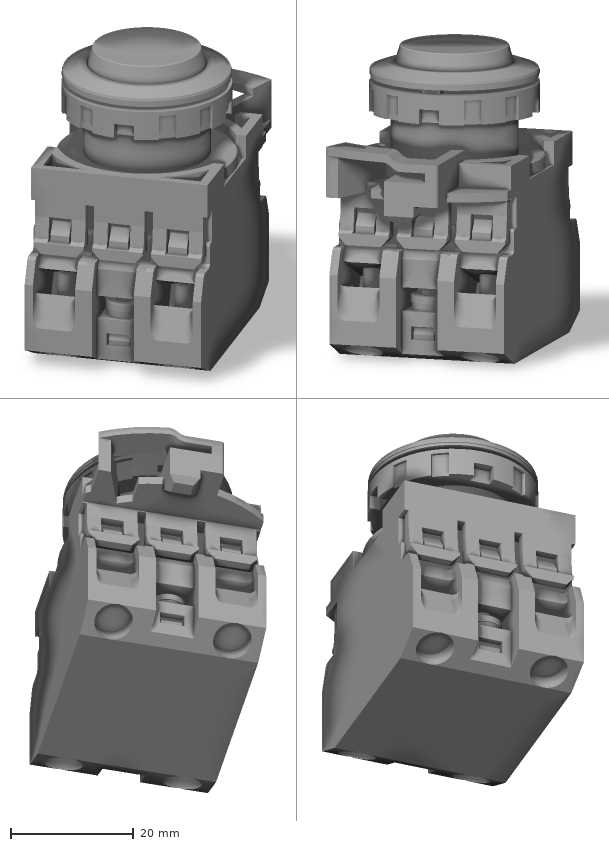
import cadquery as cq
import math


total_width = 30.0
total_height = 49.8
block_pitch = total_width / 3
half_width = total_width / 2

block_half_depth = 20.6
block_base_half = 14.9
block_chamfer_top = 2.65
block_slope_bottom = 14.15
block_shoulder_half = 18.75
block_shoulder_z = 18.35
block_neck_half = 15.2
block_top_z = 22.4
shoulder_chamfer = 0.4
neck_chamfer = 0.5

latch_width = 3.2
latch_inner_y = 13.95
latch_outer_y = 15.1
latch_top_z = 26.25
latch_chamfer = 0.25
tooth_reach_y = 17.15
tooth_bottom_z = 20.65
tooth_nose_z = 21.9
tooth_top_z = 23.85
tooth_root_y = 15.7

entry_width = 7.15
entry_foot_z = 6.65
entry_fillet = 1.05
entry_floor_z = 11.95
entry_roof_z = 15.7
entry_depth = 9.45
terminal_radius = 1.85
terminal_y = 12.1
bore_radius = 3.2
bore_depth = 3.0

channel_width = 7.1
channel_back_y = 17.15
channel_slope_bottom = 16.85
channel_slope_depth = 0.75
cavity_bottom_z = 8.1
cavity_top_z = 12.1
cavity_back_y = 8.95
screw_y = 13.45
screw_body_radius = 2.95
screw_head_radius = 3.15
screw_post_radius = 1.5
screw_head_bottom_z = 9.4
screw_head_top_z = 10.55
pocket_width = 4.1
pocket_bottom_z = 3.45
pocket_top_z = 5.7
pocket_depth = 1.2
pocket_wedge_depth = 0.8
pocket_wedge_width = 3.55
pocket_wedge_shoulder_z = 4.4
pocket_wedge_top_z = 5.35

adaptor_top_z = 33.2
adaptor_half_depth = 16.75
adaptor_skirt_z = 27.6
skirt_half_depth = 13.95
floor_z = 29.35
seat_radius = 14.85
seat_wall_radius = 16.55
side_notch_width = 13.35
corner_pocket_x = 13.4
corner_pocket_y = 15.25

clip_width = 8.55
clip_bend_z = 24.85
clip_ledge_z = 21.15
clip_lip_top_z = 20.65
clip_bevel_z = 20.15
clip_bottom_z = 18.7
clip_ledge_y = 17.25
clip_lip_y = 17.95
clip_toe_y = 16.5
clip_toe_z = 19.5
clip_bevel_width = 1.3
clip_window_width = 3.85

lever_outer_radius = 28.6
lever_inner_radius = 23.5
lever_left_x = -6.1
lever_right_x = 14.2
arm_width = 2.1
leaning_arm_width = 1.95
arm_lean = 20.0
arm_inner_radius = 15.0
lever_bottom_z = 27.8
lever_top_z = 34.85
lever_bar_thickness = 1.4
wave_start_x = 0.2
wave_length = 3.2
wave_straight_length = 0.35
wave_angle = math.radians(41.7)
lever_corner_fillet = 0.5
tongue_right_x = 3.1
tongue_top_z = 31.75
tongue_step_y = 19.65
tongue_step_z = 30.55
hook_left_x = -2.0
hook_inner_y = 24.5
hook_shoulder_z = 26.0
hook_bottom_z = 24.95
hook_taper = 40.0
flange_radius = 24.05
window_left_x = 7.05
window_inner_radius = 19.9

disc_radius = seat_radius
disc_top_z = 31.55
disc_chamfer = 0.15
barrel_radius = 10.45
neck_radius = 10.95
bezel_bottom_z = 44.5
bezel_band_bottom_z = 45.0
bezel_band_top_z = 45.55
bezel_rim_z = 46.0
bezel_top_z = 47.0
bezel_radius = 13.95
bezel_lower_radius = 13.8
bezel_rim_radius = 13.8
button_bore_radius = 9.9
button_seat_z = 45.0
key_width = 3.0
key_outer_y = 12.6
key_top_z = 44.2

nut_radius = 14.0
nut_bottom_z = 38.8
nut_top_z = 43.65
nut_notch_width = 3.4
nut_notch_top_z = 41.25
nut_notch_radius = 12.2
grip_top_z = 42.95
grip_radius = 13.45
grip_span = 12.0
grip_offset = 15.0

button_base_radius = 9.75
button_top_radius = 8.9
button_fillet = 0.25


def box(x_range, y_range, z_range):
    """Axis-aligned box from its limits along X, Y and Z."""
    sizes = [limits[1] - limits[0] for limits in (x_range, y_range, z_range)]
    corner = (x_range[0], y_range[0], z_range[0])
    return cq.Workplane("XY").box(*sizes, centered=False).translate(corner)


def cylinder(radius, z_range):
    """Cylinder on the Z axis."""
    return cq.Workplane("XY").workplane(offset=z_range[0]).circle(radius).extrude(z_range[1] - z_range[0])


def prism_along_x(points, width):
    """Outline of (y, z) points, extruded to a width centred on X = 0."""
    return cq.Workplane("YZ").polyline(points).close().extrude(width / 2, both=True)


def plate(points, z_range):
    """Outline of (x, y) points, extruded between two heights."""
    height = z_range[1] - z_range[0]
    return cq.Workplane("XY").workplane(offset=z_range[0]).polyline(points).close().extrude(height)


def both_ends(shape):
    """The shape together with its mirror image on the other side of Y = 0."""
    return shape.union(shape.mirror("XZ"))



slope_lean = math.atan2(block_half_depth - block_shoulder_half, block_shoulder_z - block_slope_bottom)


def block_body(relieved):
    """Symmetric block outline; the outer blocks have relieved shoulder and neck corners."""
    foot = [
        (block_base_half, 0),
        (block_half_depth, block_chamfer_top),
        (block_half_depth, block_slope_bottom),
    ]
    if relieved:
        slope_end_half = block_shoulder_half + shoulder_chamfer * math.tan(slope_lean)
        shoulder = [
            (slope_end_half, block_shoulder_z - shoulder_chamfer),
            (block_shoulder_half - shoulder_chamfer, block_shoulder_z),
            (block_neck_half + neck_chamfer, block_shoulder_z),
            (block_neck_half, block_shoulder_z + neck_chamfer),
            (block_neck_half, block_top_z - neck_chamfer),
            (block_neck_half - neck_chamfer / 2, block_top_z),
        ]
    else:
        shoulder = [
            (block_shoulder_half, block_shoulder_z),
            (block_neck_half, block_shoulder_z),
            (block_neck_half, block_top_z),
        ]
    half = foot + shoulder
    mirrored = [(-y, z) for y, z in reversed(half)]
    return prism_along_x(half + mirrored, block_pitch)


def front_latch():
    """Upright latch with a tooth that snaps into the window of an adaptor clip."""
    post = box(
        (-latch_width / 2, latch_width / 2),
        (-latch_outer_y, -latch_inner_y),
        (block_top_z, latch_top_z),
    )
    post = post.edges("|X and >Z and <Y").chamfer(latch_chamfer)
    tooth_points = [
        (-latch_inner_y, tooth_bottom_z),
        (-tooth_reach_y, tooth_bottom_z),
        (-tooth_reach_y, tooth_nose_z),
        (-tooth_root_y, tooth_top_z),
        (-latch_inner_y, tooth_top_z),
    ]
    return post.union(prism_along_x(tooth_points, latch_width))


def front_wire_entry():
    """Sloping funnel with a slot behind it, crossed by the round terminal post."""
    half = entry_width / 2
    long = 2 * block_half_depth

    def lean(shape, height):
        """Lean a shape to the slope, its origin on the slope at the given height."""
        y = -block_half_depth + (height - entry_foot_z) * math.tan(slope_lean)
        tilted = shape.rotate((0, 0, 0), (1, 0, 0), -math.degrees(slope_lean))
        return tilted.translate((0, y, height))

    funnel = box((-half, half), (-long, 0), (-long, long)).edges("|Z and >Y").fillet(entry_fillet)
    in_front_of_neck = box((-half, half), (-long, -block_neck_half), (0, block_top_z))
    funnel = lean(funnel, entry_foot_z).intersect(in_front_of_neck)

    slot_height = (entry_roof_z - entry_floor_z) / math.cos(slope_lean)
    slot = lean(box((-half, half), (-entry_fillet, entry_depth), (0, slot_height)), entry_floor_z)
    terminal = cylinder(terminal_radius, (0, block_top_z)).translate((0, -terminal_y, 0))
    return funnel.union(slot.cut(terminal))


def front_screw_bore():
    """Blind bore square to the bottom chamfer."""
    middle = (0, -(block_base_half + block_half_depth) / 2, block_chamfer_top / 2)
    inward = cq.Vector(0, block_chamfer_top, block_half_depth - block_base_half).normalized()
    start = cq.Vector(*middle) - inward * bore_depth
    return cq.Workplane(cq.Solid.makeCylinder(bore_radius, 2 * bore_depth, start, inward))


def outer_contact_block(x):
    block = block_body(relieved=True).cut(both_ends(front_wire_entry()))
    block = block.cut(both_ends(front_screw_bore()))
    block = block.union(both_ends(front_latch()))
    return block.translate((x, 0, 0))


def front_channel():
    """Full-height channel, its back edge sloped at the top."""
    points = [
        (-channel_back_y, 0),
        (-channel_back_y, channel_slope_bottom),
        (-channel_back_y + channel_slope_depth, block_shoulder_z),
        (-block_half_depth, block_shoulder_z),
        (-block_half_depth, 0),
    ]
    return prism_along_x(points, channel_width)


def front_screw_cavity():
    """Cavity behind the channel that leaves a round terminal screw standing."""
    half = channel_width / 2
    cavity = box((-half, half), (-channel_back_y, -cavity_back_y), (cavity_bottom_z, cavity_top_z))
    screw = cylinder(screw_body_radius, (cavity_bottom_z, screw_head_bottom_z))
    screw = screw.union(cylinder(screw_head_radius, (screw_head_bottom_z, screw_head_top_z)))
    screw = screw.union(cylinder(screw_post_radius, (screw_head_top_z, cavity_top_z)))
    return cavity.cut(screw.translate((0, -screw_y, 0)))


def front_wedge_pocket():
    """Small pocket with a wedge-shaped tooth inside."""
    half = pocket_width / 2
    pocket_back = -channel_back_y + pocket_depth
    pocket = box((-half, half), (-channel_back_y, pocket_back), (pocket_bottom_z, pocket_top_z))
    wedge_points = [
        (pocket_back, pocket_bottom_z),
        (pocket_back - pocket_wedge_depth, pocket_bottom_z),
        (pocket_back - pocket_wedge_depth, pocket_wedge_shoulder_z),
        (pocket_back, pocket_wedge_top_z),
    ]
    return pocket.cut(prism_along_x(wedge_points, pocket_wedge_width))


def middle_contact_block():
    block = block_body(relieved=False).cut(both_ends(front_channel()))
    block = block.cut(both_ends(front_screw_cavity()))
    block = block.cut(both_ends(front_wedge_pocket()))
    return block.union(both_ends(front_latch()))



lean_run = math.tan(math.radians(arm_lean))
arm_corner_y = math.sqrt(lever_outer_radius**2 - lever_right_x**2)


def leaning_x(y, inset):
    """X of the leaning arm's outer edge at a given Y, moved inwards by a square distance."""
    return lever_right_x - (arm_corner_y - y) * lean_run - inset / math.cos(math.radians(arm_lean))


def front_clip():
    """Spring clip with an outward lip, a latch window and bevelled lower corners."""
    points = [
        (-block_neck_half, adaptor_skirt_z),
        (-adaptor_half_depth, adaptor_skirt_z),
        (-adaptor_half_depth, clip_bend_z),
        (-clip_ledge_y, clip_ledge_z),
        (-clip_lip_y, clip_lip_top_z),
        (-clip_lip_y, clip_bottom_z),
        (-clip_toe_y, clip_bottom_z),
        (-block_neck_half, clip_toe_z),
    ]
    half = clip_width / 2
    face = [
        (-half, adaptor_skirt_z),
        (-half, clip_bevel_z),
        (-half + clip_bevel_width, clip_bottom_z),
        (half - clip_bevel_width, clip_bottom_z),
        (half, clip_bevel_z),
        (half, adaptor_skirt_z),
    ]
    silhouette = cq.Workplane("XZ").polyline(face).close().extrude(block_half_depth)
    window_half = clip_window_width / 2
    window = box((-window_half, window_half), (-block_half_depth, 0), (clip_lip_top_z, clip_bend_z))
    return prism_along_x(points, clip_width).intersect(silhouette).cut(window)


def corner_pockets():
    """Four corner pockets between the round seat wall and the straight walls."""
    inner = box(
        (-corner_pocket_x, corner_pocket_x),
        (-corner_pocket_y, corner_pocket_y),
        (floor_z, adaptor_top_z),
    )
    return inner.cut(cylinder(seat_wall_radius, (floor_z, adaptor_top_z)))


def adaptor_box():
    upper = box(
        (-half_width, half_width),
        (-adaptor_half_depth, adaptor_half_depth),
        (adaptor_skirt_z, adaptor_top_z),
    )
    skirt = box(
        (-half_width, half_width),
        (-skirt_half_depth, skirt_half_depth),
        (block_top_z, adaptor_skirt_z),
    )
    side_notches = box(
        (-half_width, half_width),
        (-side_notch_width / 2, side_notch_width / 2),
        (floor_z, adaptor_top_z),
    )
    shell = upper.union(skirt).cut(corner_pockets()).cut(side_notches)
    return shell.cut(cylinder(seat_radius, (floor_z, adaptor_top_z)))


def lever_bar():
    """Curved bar that joins the two arms and steps up along a smooth wave."""
    outline = (
        cq.Workplane("XY")
        .moveTo(lever_left_x, lever_inner_radius)
        .lineTo(lever_left_x, lever_outer_radius)
        .lineTo(0, lever_outer_radius)
        .radiusArc((lever_right_x, arm_corner_y), lever_outer_radius)
        .lineTo(leaning_x(adaptor_half_depth, 0), adaptor_half_depth)
        .lineTo(0, adaptor_half_depth)
        .lineTo(0, lever_inner_radius)
        .close()
        .extrude(total_height)
    )
    outline = outline.cut(cylinder(lever_inner_radius, (0, total_height)))

    arc_run = (wave_length - wave_straight_length) / 2
    arc_rise = arc_run * math.tan(wave_angle / 2)
    straight_rise = wave_straight_length * math.tan(wave_angle)
    wave_top_z = lever_top_z + 2 * arc_rise + straight_rise
    step = (
        cq.Workplane("XZ")
        .moveTo(lever_left_x, lever_top_z)
        .lineTo(wave_start_x, lever_top_z)
        .tangentArcPoint((arc_run, arc_rise))
        .line(wave_straight_length, straight_rise)
        .tangentArcPoint((arc_run, arc_rise))
        .lineTo(half_width, wave_top_z)
        .line(0, -lever_bar_thickness)
        .lineTo(wave_start_x + wave_length, wave_top_z - lever_bar_thickness)
        .tangentArcPoint((-arc_run, -arc_rise))
        .line(-wave_straight_length, -straight_rise)
        .tangentArcPoint((-arc_run, -arc_rise))
        .lineTo(lever_left_x, lever_top_z - lever_bar_thickness)
        .close()
        .extrude(-total_height)
    )
    return outline.intersect(step)


def lever_arms():
    """Straight arm on the left and leaning arm on the right, both ending at the round seat."""
    left = box(
        (lever_left_x, lever_left_x + arm_width),
        (0, lever_outer_radius),
        (lever_bottom_z, lever_top_z),
    )
    right = plate(
        [
            (leaning_x(0, 0), 0),
            (lever_right_x, arm_corner_y),
            (leaning_x(arm_corner_y, leaning_arm_width), arm_corner_y),
            (leaning_x(0, leaning_arm_width), 0),
        ],
        (lever_bottom_z, lever_top_z),
    )
    return left.union(right).cut(cylinder(arm_inner_radius, (floor_z, total_height)))


def lever():
    """Arms and bar together, rounded at the outer left corner."""
    corner = (lever_left_x, lever_outer_radius, (lever_bottom_z + lever_top_z) / 2)
    body = lever_arms().union(lever_bar())
    return body.edges(cq.selectors.NearestToPointSelector(corner)).fillet(lever_corner_fillet)


def lever_bay():
    """Clearance between the two arms, above the floor."""
    left_x = lever_left_x + arm_width
    top_y = lever_inner_radius
    points = [
        (left_x, 0),
        (left_x, top_y),
        (leaning_x(top_y, leaning_arm_width), top_y),
        (leaning_x(0, leaning_arm_width), 0),
    ]
    return plate(points, (floor_z, adaptor_top_z))


def lever_tongue():
    """Stepped tongue under the bar, with a tapered hook below its free end."""
    x_range = (lever_left_x + arm_width, tongue_right_x)
    inner = box(x_range, (seat_radius, tongue_step_y), (lever_bottom_z, tongue_step_z))
    outer = box(x_range, (tongue_step_y, lever_outer_radius), (lever_bottom_z, tongue_top_z))
    hook_size = (tongue_right_x - hook_left_x, lever_outer_radius - hook_inner_y)
    hook_center = ((tongue_right_x + hook_left_x) / 2, (lever_outer_radius + hook_inner_y) / 2)
    hook = (
        cq.Workplane("XY")
        .workplane(offset=hook_shoulder_z)
        .center(*hook_center)
        .rect(*hook_size)
        .extrude(lever_bottom_z - hook_shoulder_z)
        .faces("<Z")
        .workplane()
        .rect(*hook_size)
        .extrude(hook_shoulder_z - hook_bottom_z, taper=hook_taper)
    )
    return inner.union(outer).union(hook)


def lever_flange():
    """Round flange behind the adaptor with a window beside the leaning arm."""
    z_range = (lever_bottom_z, floor_z)
    behind = box((-half_width, half_width), (skirt_half_depth, lever_outer_radius), z_range)
    flange = cylinder(flange_radius, z_range).intersect(behind)
    gusset_y = window_inner_radius - arm_width
    gusset = plate(
        [(leaning_x(gusset_y, 0), gusset_y), (lever_right_x, gusset_y), (lever_right_x, arm_corner_y)],
        z_range,
    )
    window = plate(
        [
            (window_left_x, skirt_half_depth),
            (window_left_x, lever_outer_radius),
            (leaning_x(lever_outer_radius, leaning_arm_width), lever_outer_radius),
            (leaning_x(skirt_half_depth, leaning_arm_width), skirt_half_depth),
        ],
        z_range,
    ).cut(cylinder(window_inner_radius, z_range))
    return flange.cut(window).union(gusset)


def make_adaptor():
    adaptor = adaptor_box().cut(lever_bay()).union(lever_flange())
    adaptor = adaptor.union(lever()).union(lever_tongue())
    for index in (-1, 0, 1):
        adaptor = adaptor.union(both_ends(front_clip()).translate((index * block_pitch, 0, 0)))
    return adaptor




def make_operator():
    """Seat disc, barrel, neck and bezel turned in one piece, with a key behind the neck."""
    profile = [
        (0, floor_z),
        (disc_radius - disc_chamfer, floor_z),
        (disc_radius, floor_z + disc_chamfer),
        (disc_radius, disc_top_z - disc_chamfer),
        (disc_radius - disc_chamfer, disc_top_z),
        (barrel_radius, disc_top_z),
        (barrel_radius, nut_top_z),
        (neck_radius, nut_top_z),
        (neck_radius, bezel_bottom_z),
        (bezel_lower_radius, bezel_bottom_z),
        (bezel_lower_radius, bezel_band_bottom_z),
        (bezel_radius, bezel_band_bottom_z),
        (bezel_radius, bezel_band_top_z),
        (bezel_rim_radius, bezel_rim_z),
        (neck_radius, bezel_top_z),
        (button_bore_radius, bezel_top_z),
        (button_bore_radius, button_seat_z),
        (0, button_seat_z),
    ]
    turned = cq.Workplane("XZ").polyline(profile).close().revolve(360, (0, 0), (0, 1))
    key = box((-key_width / 2, key_width / 2), (barrel_radius, key_outer_y), (nut_top_z, key_top_z))
    return turned.union(key)


def nut_grip(angle):
    """Shallow grip recess in the nut's rim, centred on an angle about Z."""
    reach = 2 * nut_radius
    half_chord = reach * math.tan(math.radians(grip_span / 2))
    wedge = plate([(0, 0), (reach, -half_chord), (reach, half_chord)], (nut_bottom_z, grip_top_z))
    return wedge.cut(cylinder(grip_radius, (nut_bottom_z, grip_top_z))).rotate((0, 0, 0), (0, 0, 1), angle)


def make_lock_nut():
    nut = cylinder(nut_radius, (nut_bottom_z, nut_top_z))
    nut = nut.cut(cylinder(barrel_radius, (nut_bottom_z, nut_top_z)))
    notch = box(
        (nut_notch_radius, nut_radius),
        (-nut_notch_width / 2, nut_notch_width / 2),
        (nut_bottom_z, nut_notch_top_z),
    )
    for quarter in range(4):
        nut = nut.cut(notch.rotate((0, 0, 0), (0, 0, 1), 90 * quarter))
        for side in (-1, 1):
            nut = nut.cut(nut_grip(90 * quarter + 45 + side * grip_offset))
    return nut


def make_button():
    """Tapered cap on a straight base, with a rounded top edge."""
    profile = [
        (0, button_seat_z),
        (button_base_radius, button_seat_z),
        (button_base_radius, bezel_top_z),
        (button_top_radius, total_height),
        (0, total_height),
    ]
    cap = cq.Workplane("XZ").polyline(profile).close().revolve(360, (0, 0), (0, 1))
    return cap.faces(">Z").edges().fillet(button_fillet)


outer_blocks = [outer_contact_block(side * block_pitch) for side in (-1, 1)]
middle_block = middle_contact_block()
adaptor = make_adaptor()
operator = make_operator()
lock_nut = make_lock_nut()
button = make_button()

result = cq.Compound.makeCompound(
    [
        *[block.solids().val() for block in outer_blocks],
        middle_block.solids().val(),
        adaptor.solids().val(),
        operator.solids().val(),
        lock_nut.solids().val(),
        button.solids().val(),
    ]
)